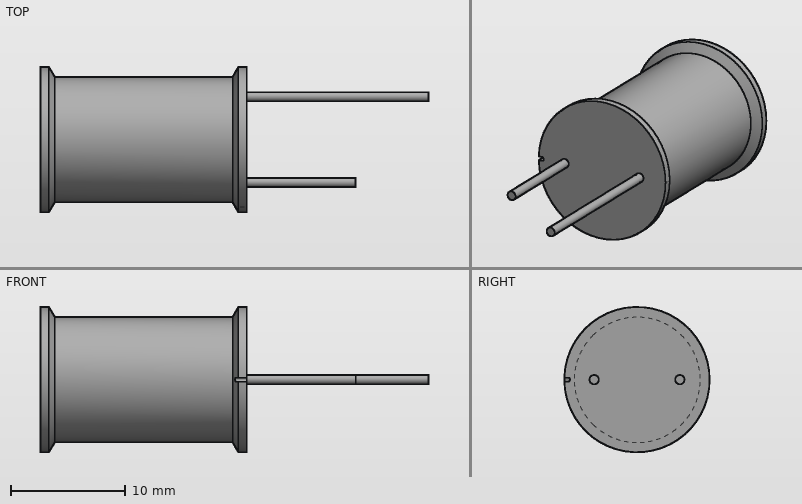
import cadquery as cq

total_length = 33.9
flange_diameter = 12.7

bobbin_length = 18.05
body_diameter = 11.0
rim_width = 0.75
taper_width = 0.5

lead_diameter = 0.8
lead_spacing = 7.5
long_lead_length = total_length - bobbin_length
short_lead_length = 9.5

notch_width = 0.35
notch_depth = 0.5

flange_radius = flange_diameter / 2
body_radius = body_diameter / 2
flange_width = rim_width + taper_width


def make_bobbin():
    """Solid spool: half profile in XY turned about the X axis."""
    return (
        cq.Workplane("XY")
        .moveTo(0, 0)
        .lineTo(0, flange_radius)
        .lineTo(rim_width, flange_radius)
        .lineTo(flange_width, body_radius)
        .lineTo(bobbin_length - flange_width, body_radius)
        .lineTo(bobbin_length - rim_width, flange_radius)
        .lineTo(bobbin_length, flange_radius)
        .lineTo(bobbin_length, 0)
        .close()
        .revolve(360, (0, 0, 0), (1, 0, 0))
    )


def make_lead(y, length):
    """Round wire standing on the lead-side end face."""
    return (
        cq.Workplane("YZ", origin=(bobbin_length, y, 0))
        .circle(lead_diameter / 2)
        .extrude(length)
    )


def make_notch():
    """Cutter for a round-bottomed groove along X through the flange on the -Y side."""
    half_width = notch_width / 2
    bottom_y = -flange_radius + notch_depth
    arc_start_y = bottom_y - half_width
    return (
        cq.Workplane("YZ", origin=(bobbin_length - flange_width, 0, 0))
        .moveTo(-flange_radius, -half_width)
        .lineTo(arc_start_y, -half_width)
        .threePointArc((bottom_y, 0), (arc_start_y, half_width))
        .lineTo(-flange_radius, half_width)
        .close()
        .extrude(flange_width)
    )


result = (
    make_bobbin()
    .cut(make_notch())
    .union(make_lead(lead_spacing / 2, long_lead_length))
    .union(make_lead(-lead_spacing / 2, short_lead_length))
)